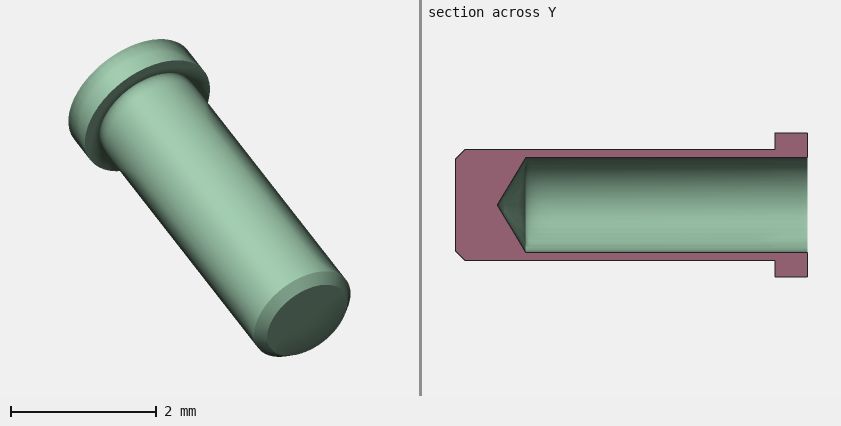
import cadquery as cq
import math

length = 4.83
head_diameter = 1.98
head_thickness = 0.455
shank_diameter = 1.525

bevel_size = 0.13

bore_diameter = 1.3
bore_depth = 3.865
drill_point_angle = 118.0

head_radius = head_diameter / 2
shank_radius = shank_diameter / 2
tip_radius = shank_radius - bevel_size
bore_radius = bore_diameter / 2
cone_depth = bore_radius / math.tan(math.radians(drill_point_angle / 2))

half_section = (
    cq.Workplane("XY")
    .moveTo(bore_depth + cone_depth, 0)
    .lineTo(bore_depth, bore_radius)
    .lineTo(0, bore_radius)
    .lineTo(0, head_radius)
    .lineTo(head_thickness, head_radius)
    .lineTo(head_thickness, shank_radius)
    .lineTo(length - bevel_size, shank_radius)
    .lineTo(length, tip_radius)
    .lineTo(length, 0)
    .close()
)

result = half_section.revolve(360, (0, 0, 0), (1, 0, 0))